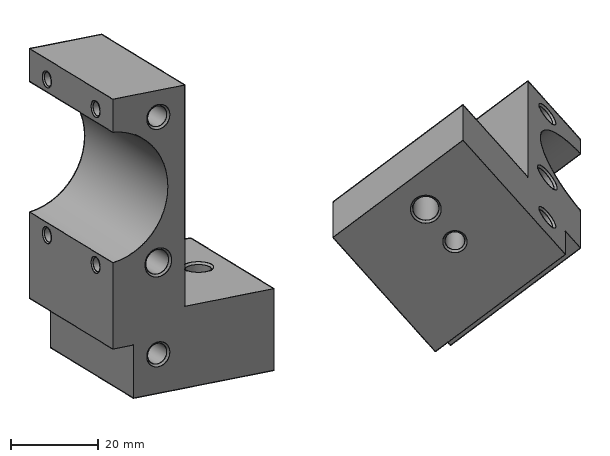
import cadquery as cq
import math

width = 38.5
depth = 42.5
height = 74.0

base_height = 20.0
upright_thickness = 19.0
toe_setback = 5.5
toe_height = 13.0

saddle_radius = 16.0
saddle_axis_ahead = 1.5
saddle_z = height - 24.0

mouth_chamfer = 0.5
clamp_mouth_chamfer = 0.33
side_hole_diameter = 5.0
dowel_diameter = 6.0
small_foot_diameter = 4.5
clamp_diameter = 3.3

cross_hole_y = 12.0
cross_holes = [
    (height - 6.5, side_hole_diameter),
    (height - 42.0, dowel_diameter),
    (height - 64.45, side_hole_diameter),
]

foot_hole_x = 17.55
foot_holes = [
    (8.0, dowel_diameter),
    (18.5, small_foot_diameter),
]

clamp_side_margin = 8.0
clamp_offset_z = 19.0
clamp_depth = 12.0
drill_point_angle = 118.0


def make_body():
    """L-shaped block with the step under its front face."""
    outline = [
        (toe_setback, 0),
        (depth, 0),
        (depth, base_height),
        (upright_thickness, base_height),
        (upright_thickness, height),
        (0, height),
        (0, toe_height),
        (toe_setback, toe_height),
    ]
    return cq.Workplane("YZ").polyline(outline).close().extrude(width)


def make_saddle():
    """Cylinder along X that is cut out of the upright."""
    return cq.Workplane("YZ").center(-saddle_axis_ahead, saddle_z).circle(saddle_radius).extrude(width)


def revolve_hole(half_section, start, direction):
    """Solid of revolution from (radius, distance along axis) points, set at start along direction."""
    turned = cq.Workplane("XY").polyline(half_section).close().revolve(360, (0, 0, 0), (0, 1, 0))
    along = cq.Vector(*direction)
    local_x = cq.Vector(0, 0, 1) if direction[2] == 0 else cq.Vector(1, 0, 0)
    frame = cq.Plane(origin=start, xDir=local_x, normal=local_x.cross(along))
    return cq.Workplane(turned.val().moved(cq.Location(frame)))


def through_hole(start, direction, length, diameter):
    """Plain hole with a chamfer at both mouths."""
    radius = diameter / 2
    mouth = radius + mouth_chamfer
    half_section = [
        (0, 0),
        (mouth, 0),
        (radius, mouth_chamfer),
        (radius, length - mouth_chamfer),
        (mouth, length),
        (0, length),
    ]
    return revolve_hole(half_section, start, direction)


def clamp_hole(x, z):
    """Blind hole from the front face with a chamfered mouth and a conical drill point."""
    radius = clamp_diameter / 2
    point_length = radius / math.tan(math.radians(drill_point_angle / 2))
    half_section = [
        (0, 0),
        (radius + clamp_mouth_chamfer, 0),
        (radius, clamp_mouth_chamfer),
        (radius, clamp_depth),
        (0, clamp_depth + point_length),
    ]
    return revolve_hole(half_section, (x, 0, z), (0, 1, 0))


result = make_body().cut(make_saddle())

for z, diameter in cross_holes:
    result = result.cut(through_hole((0, cross_hole_y, z), (1, 0, 0), width, diameter))

for back_distance, diameter in foot_holes:
    start = (foot_hole_x, depth - back_distance, 0)
    result = result.cut(through_hole(start, (0, 0, 1), base_height, diameter))

for x in (clamp_side_margin, width - clamp_side_margin):
    for z in (saddle_z - clamp_offset_z, saddle_z + clamp_offset_z):
        result = result.cut(clamp_hole(x, z))